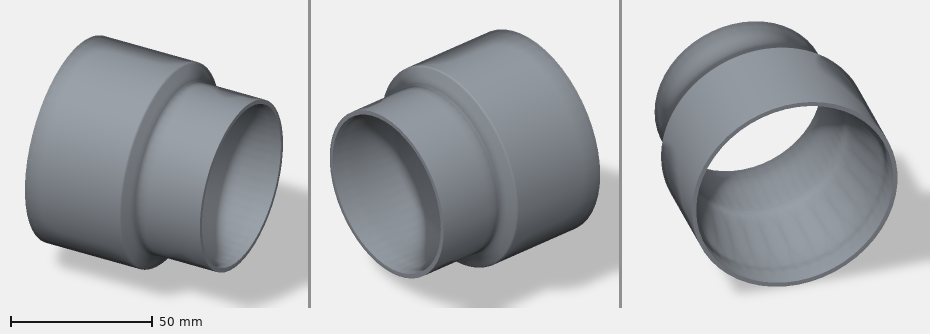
import cadquery as cq

total_length = 66.7

large_outer_diameter = 76.2
small_outer_diameter = 63.5
outer_cone_start = 38.1
outer_cone_length = 3.2
outer_blend_radius = 1.0

large_bore_diameter = 72.9
small_bore_diameter = 60.2
inner_cone_start = 9.5
inner_cone_length = outer_cone_start - inner_cone_start
inner_blend_radius = 7.6

selection_margin = 0.8


def stepped_round(large_diameter, small_diameter, cone_start, cone_length, blend_radius):
    """Solid of revolution: cylinder, cone, smaller cylinder, with both cone ends blended."""
    large_radius = large_diameter / 2
    small_radius = small_diameter / 2
    cone_end = cone_start + cone_length
    sharp = (
        cq.Workplane("XY")
        .polyline([
            (0, 0),
            (0, large_radius),
            (cone_start, large_radius),
            (cone_end, small_radius),
            (total_length, small_radius),
            (total_length, 0),
        ])
        .close()
        .revolve(360, (0, 0, 0), (1, 0, 0))
    )
    cone_ends = cq.selectors.BoxSelector(
        (cone_start - selection_margin, -large_diameter, -large_diameter),
        (cone_end + selection_margin, large_diameter, large_diameter),
    )
    return sharp.edges("%CIRCLE").edges(cone_ends).fillet(blend_radius)


outer_body = stepped_round(
    large_outer_diameter, small_outer_diameter, outer_cone_start, outer_cone_length, outer_blend_radius
)
inner_void = stepped_round(
    large_bore_diameter, small_bore_diameter, inner_cone_start, inner_cone_length, inner_blend_radius
)

result = outer_body.cut(inner_void)